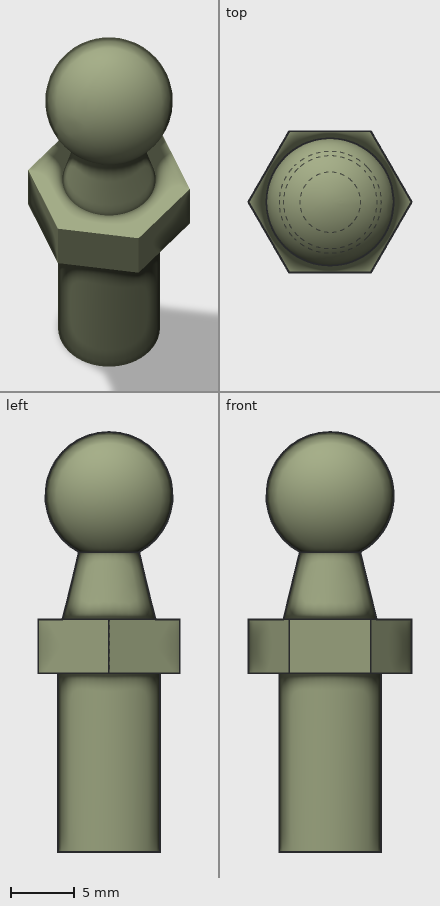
import cadquery as cq
import math

total_height = 32.9
ball_diameter = 10.0
shank_diameter = 8.0
shank_length = 13.98
hex_across_flats = 11.1
hex_thickness = 4.25
neck_base_diameter = 7.3
neck_top_diameter = 4.75

ball_radius = ball_diameter / 2
neck_top_radius = neck_top_diameter / 2
hex_across_corners = hex_across_flats / math.cos(math.pi / 6)
hex_top = shank_length + hex_thickness
ball_center = total_height - ball_radius
neck_top = ball_center - math.sqrt(ball_radius**2 - neck_top_radius**2)


def make_shank():
    return cq.Workplane("XY").circle(shank_diameter / 2).extrude(shank_length)


def make_hex():
    """Hexagonal collar with two corners on the X axis."""
    return (
        cq.Workplane("XY")
        .workplane(offset=shank_length)
        .polygon(6, hex_across_corners)
        .extrude(hex_thickness)
    )


def make_ball_and_neck():
    """Tapered neck and ball, revolved about Z as one profile."""
    return (
        cq.Workplane("XZ")
        .moveTo(0, hex_top)
        .lineTo(neck_base_diameter / 2, hex_top)
        .lineTo(neck_top_radius, neck_top)
        .threePointArc((ball_radius, ball_center), (0, total_height))
        .close()
        .revolve(360, (0, 0, 0), (0, 1, 0))
    )


result = make_shank().union(make_hex()).union(make_ball_and_neck())